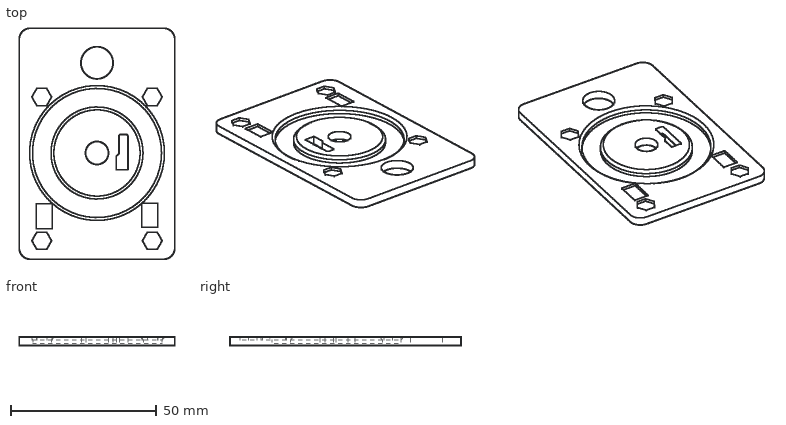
import cadquery as cq
import math

PLATE_WIDTH = 53.72
PLATE_LENGTH = 79.75
PLATE_THICKNESS = 3.0
CORNER_RADIUS = 4.0

DIAL_Y = -3.2
SPINDLE_HOLE_DIAMETER = 7.85
GROOVE_INNER_DIAMETER = 31.75
GROOVE_OUTER_DIAMETER = 44.5
GROOVE_DEPTH = 2.25
GROOVE_CHAMFER = 1.0

LARGE_HOLE_DIAMETER = 11.0
LARGE_HOLE_Y = 27.875

NUT_SIDES = 6
NUT_ACROSS_FLATS = 5.9
NUT_POCKET_DEPTH = 1.0
NUT_X = 19.05
NUT_UPPER_Y = 16.1
NUT_LOWER_Y = -33.45

POCKET_WIDTH = 5.5
POCKET_X = 18.25
POCKET_DEPTH = 1.0
LEFT_POCKET_TOP_Y = -20.75
LEFT_POCKET_LENGTH = 8.5
RIGHT_POCKET_TOP_Y = -20.5
RIGHT_POCKET_LENGTH = 8.25

SLOT_RIGHT_X = 10.6
SLOT_NARROW_WIDTH = 3.0
SLOT_WIDE_WIDTH = 3.9
SLOT_TOP_Y = 3.15
SLOT_BOTTOM_Y = -8.95
SLOT_STEP_Y = -4.3
SLOT_CORNER_RADIUS = 0.5


def plate():
    blank = cq.Workplane("XY").rect(PLATE_WIDTH, PLATE_LENGTH).extrude(PLATE_THICKNESS)
    return blank.edges("|Z").fillet(CORNER_RADIUS)


def through_hole(diameter, y):
    return cq.Workplane("XY").center(0, y).circle(diameter / 2).extrude(PLATE_THICKNESS)


def ring_groove():
    """Ring with vertical walls that flare outward at the top face."""
    inner_radius = GROOVE_INNER_DIAMETER / 2
    outer_radius = GROOVE_OUTER_DIAMETER / 2
    floor_z = PLATE_THICKNESS - GROOVE_DEPTH
    chamfer_z = PLATE_THICKNESS - GROOVE_CHAMFER
    section = [
        (inner_radius, floor_z),
        (outer_radius, floor_z),
        (outer_radius, chamfer_z),
        (outer_radius + GROOVE_CHAMFER, PLATE_THICKNESS),
        (inner_radius - GROOVE_CHAMFER, PLATE_THICKNESS),
        (inner_radius, chamfer_z),
    ]
    ring = cq.Workplane("XZ").polyline(section).close().revolve(360, (0, 0), (0, 1))
    return ring.translate((0, DIAL_Y, 0))


def nut_pockets():
    across_corners = NUT_ACROSS_FLATS / math.cos(math.pi / NUT_SIDES)
    centres = [(x, y) for x in (-NUT_X, NUT_X) for y in (NUT_LOWER_Y, NUT_UPPER_Y)]
    floor = cq.Workplane("XY", origin=(0, 0, PLATE_THICKNESS - NUT_POCKET_DEPTH))
    return floor.pushPoints(centres).polygon(NUT_SIDES, across_corners).extrude(NUT_POCKET_DEPTH)


def rectangular_pocket(x, top_y, length):
    floor = cq.Workplane("XY", origin=(x, top_y - length / 2, PLATE_THICKNESS - POCKET_DEPTH))
    return floor.rect(POCKET_WIDTH, length).extrude(POCKET_DEPTH)


def stepped_slot():
    """Slot whose left side widens through a 45 degree step; the narrow end is rounded."""
    narrow_x = SLOT_RIGHT_X - SLOT_NARROW_WIDTH
    wide_x = SLOT_RIGHT_X - SLOT_WIDE_WIDTH
    step_top_y = SLOT_STEP_Y + (SLOT_WIDE_WIDTH - SLOT_NARROW_WIDTH)
    outline = [
        (wide_x, SLOT_BOTTOM_Y),
        (SLOT_RIGHT_X, SLOT_BOTTOM_Y),
        (SLOT_RIGHT_X, SLOT_TOP_Y),
        (narrow_x, SLOT_TOP_Y),
        (narrow_x, step_top_y),
        (wide_x, SLOT_STEP_Y),
    ]
    slot = cq.Workplane("XY").polyline(outline).close().extrude(PLATE_THICKNESS)
    return slot.faces(">Y").edges("|Z").fillet(SLOT_CORNER_RADIUS)


result = (
    plate()
    .cut(through_hole(SPINDLE_HOLE_DIAMETER, DIAL_Y))
    .cut(through_hole(LARGE_HOLE_DIAMETER, LARGE_HOLE_Y))
    .cut(ring_groove())
    .cut(nut_pockets())
    .cut(rectangular_pocket(-POCKET_X, LEFT_POCKET_TOP_Y, LEFT_POCKET_LENGTH))
    .cut(rectangular_pocket(POCKET_X, RIGHT_POCKET_TOP_Y, RIGHT_POCKET_LENGTH))
    .cut(stepped_slot())
)